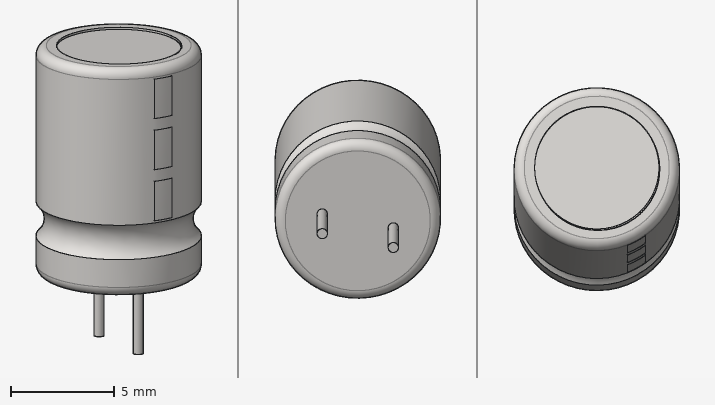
import cadquery as cq
import math

can_radius = 4.0
can_height = 11.5
edge_radius = 0.5
groove_bottom = 1.9
groove_height = 1.74
groove_depth = 0.4

plate_radius = 3.0
plate_thickness = 0.2
recess_depth = 0.1
recess_shift = 0.09

lead_diameter = 0.5
lead_length = 3.6
lead_spacing = 3.5

mark_count = 3
mark_width = 1.0
mark_height = 2.0
mark_gap = 0.59
mark_thickness = 0.1
top_mark_clearance = 0.6

plate_top = can_height - recess_depth
top_mark_top = can_height - top_mark_clearance
mark_pitch = mark_height + mark_gap


def make_can_blank():
    """Solid can before the recess, plate pocket and mark pockets are cut."""
    corner = edge_radius * (1 - math.cos(math.radians(45)))
    groove_top = groove_bottom + groove_height
    groove_middle = groove_bottom + groove_height / 2
    profile = (
        cq.Workplane("XZ")
        .lineTo(can_radius - edge_radius, 0)
        .threePointArc((can_radius - corner, corner), (can_radius, edge_radius))
        .lineTo(can_radius, groove_bottom)
        .threePointArc((can_radius - groove_depth, groove_middle), (can_radius, groove_top))
        .lineTo(can_radius, can_height - edge_radius)
        .threePointArc(
            (can_radius - corner, can_height - corner),
            (can_radius - edge_radius, can_height),
        )
        .lineTo(0, can_height)
        .close()
    )
    return profile.revolve(360, (0, 0, 0), (0, 1, 0))


def make_recess():
    """Opening above the plate: the plate circle stretched toward +X."""
    return (
        cq.Workplane("XY")
        .workplane(offset=plate_top)
        .center(recess_shift / 2, 0)
        .slot2D(2 * plate_radius + recess_shift, 2 * plate_radius)
        .extrude(recess_depth)
    )


def make_plate():
    return (
        cq.Workplane("XY")
        .workplane(offset=plate_top - plate_thickness)
        .circle(plate_radius)
        .extrude(plate_thickness)
    )


def make_mark(mark_top):
    """Upright dash, curved so that its outer face follows the wall of the can."""
    wall = (
        cq.Workplane("XY")
        .workplane(offset=mark_top)
        .circle(can_radius)
        .circle(can_radius - mark_thickness)
        .extrude(-mark_height)
    )
    window = cq.Workplane("XY").box(can_radius, mark_width, can_height, centered=(False, True, False))
    return wall.intersect(window)


def make_lead(x):
    return (
        cq.Workplane("XY")
        .center(x, 0)
        .circle(lead_diameter / 2)
        .extrude(-lead_length)
    )


plate = make_plate()
marks = [make_mark(top_mark_top - i * mark_pitch) for i in range(mark_count)]
leads = [make_lead(side * lead_spacing / 2) for side in (-1, 1)]

can = make_can_blank().cut(make_recess()).cut(plate)
for mark in marks:
    can = can.cut(mark)

result = cq.Compound.makeCompound(
    [can.val(), plate.val(), *[mark.val() for mark in marks], *[lead.val() for lead in leads]]
)